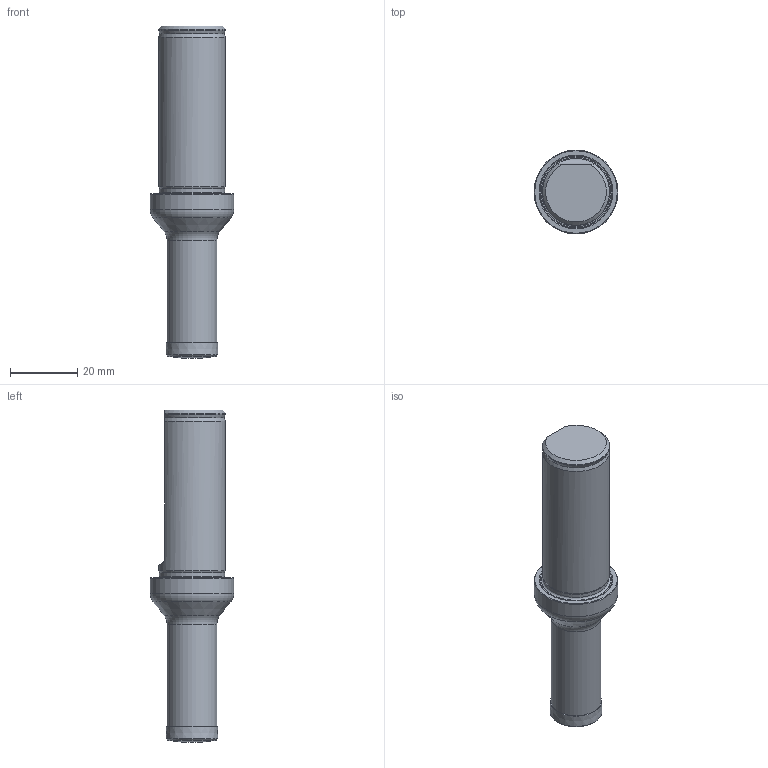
import cadquery as cq
import math

total_length = 99.0

shank_diameter = 19.99
shank_length = 50.0
shank_chamfer = 0.95

end_groove_diameter = 19.2
end_groove_top = 1.3
end_groove_deepest = 2.3
end_groove_bottom = 3.4

relief_diameter = 19.5
relief_height = 2.0
relief_taper_height = 0.5

collar_diameter = 25.0
collar_height = 4.7
collar_chamfer = 0.2
face_recess_diameter = 22.0
face_recess_depth = 0.2
face_recess_chamfer = 0.3
recess_fillet = 0.6

neck_diameter = 14.9
shoulder_angle = math.radians(38.5)
shoulder_radius = 4.0

flat_offset = 8.2
flat_runout_radius = 2.0
flat_runout_height = 3.75

head_height = 4.6
head_top_diameter = 15.3
head_bottom_diameter = 15.5
head_edge_height = 0.9
head_corner_size = 0.4
head_flat_diameter = 6.0

shank_radius = shank_diameter / 2
relief_radius = relief_diameter / 2
collar_radius = collar_diameter / 2
neck_radius = neck_diameter / 2
face_recess_radius = face_recess_diameter / 2
collar_top = total_length - shank_length
collar_bottom = collar_top - collar_height
recess_floor = collar_top - face_recess_depth
relief_top = collar_top + relief_height


def blend_point(angle):
    """Axial and radial travel along a shoulder blend after turning by angle from the axis."""
    return shoulder_radius * math.sin(angle), shoulder_radius * (1 - math.cos(angle))


def make_holder():
    """Turned shank, collar, shoulder and neck, with the clamping flat cut into the shank."""
    blend_drop, blend_step = blend_point(shoulder_angle)
    mid_drop, mid_step = blend_point(shoulder_angle / 2)
    cone_step = collar_radius - neck_radius - 2 * blend_step
    cone_drop = cone_step / math.tan(shoulder_angle)
    shoulder_bottom = collar_bottom - 2 * blend_drop - cone_drop
    fillet_middle = recess_fillet * (1 - math.sqrt(0.5))

    profile = (
        cq.Workplane("XZ")
        .moveTo(0, head_height)
        .lineTo(neck_radius, head_height)
        .lineTo(neck_radius, shoulder_bottom)
        .threePointArc(
            (neck_radius + mid_step, shoulder_bottom + mid_drop),
            (neck_radius + blend_step, shoulder_bottom + blend_drop),
        )
        .lineTo(collar_radius - blend_step, collar_bottom - blend_drop)
        .threePointArc(
            (collar_radius - mid_step, collar_bottom - mid_drop),
            (collar_radius, collar_bottom),
        )
        .lineTo(collar_radius, collar_top - collar_chamfer)
        .lineTo(collar_radius - collar_chamfer, collar_top)
        .lineTo(face_recess_radius, collar_top)
        .lineTo(face_recess_radius - face_recess_chamfer, recess_floor)
        .lineTo(relief_radius + recess_fillet, recess_floor)
        .threePointArc(
            (relief_radius + fillet_middle, recess_floor + fillet_middle),
            (relief_radius, recess_floor + recess_fillet),
        )
        .lineTo(relief_radius, relief_top - relief_taper_height)
        .lineTo(shank_radius, relief_top)
        .lineTo(shank_radius, total_length - end_groove_bottom)
        .lineTo(end_groove_diameter / 2, total_length - end_groove_deepest)
        .lineTo(shank_radius, total_length - end_groove_top)
        .lineTo(shank_radius, total_length - shank_chamfer)
        .lineTo(shank_radius - shank_chamfer, total_length)
        .lineTo(0, total_length)
        .close()
    )
    return profile.revolve(360, (0, 0, 0), (0, 1, 0)).cut(make_flat_cutter())


def make_flat_cutter():
    """Material removed for the clamping flat, ending below in a quarter-round runout."""
    runout_bottom = collar_top + flat_runout_height
    runout_top = runout_bottom + flat_runout_radius
    arc_inset = flat_runout_radius * (1 - math.sqrt(0.5))
    outer = flat_offset + flat_runout_radius
    return (
        cq.Workplane("YZ")
        .moveTo(flat_offset, total_length)
        .lineTo(flat_offset, runout_top)
        .threePointArc((flat_offset + arc_inset, runout_bottom + arc_inset), (outer, runout_bottom))
        .lineTo(outer, total_length)
        .close()
        .extrude(shank_diameter, both=True)
    )


def make_cutting_head():
    """Slightly tapered tip with a chamfered rim and a shallow conical end."""
    bottom_radius = head_bottom_diameter / 2
    rim_radius = bottom_radius - head_corner_size
    rim_height = head_edge_height - head_corner_size
    return (
        cq.Workplane("XZ")
        .lineTo(head_flat_diameter / 2, 0)
        .lineTo(rim_radius, rim_height)
        .lineTo(bottom_radius, head_edge_height)
        .lineTo(head_top_diameter / 2, head_height)
        .lineTo(0, head_height)
        .close()
        .revolve(360, (0, 0, 0), (0, 1, 0))
    )


holder = make_holder()
cutting_head = make_cutting_head()
result = cq.Compound.makeCompound([holder.val(), cutting_head.val()])